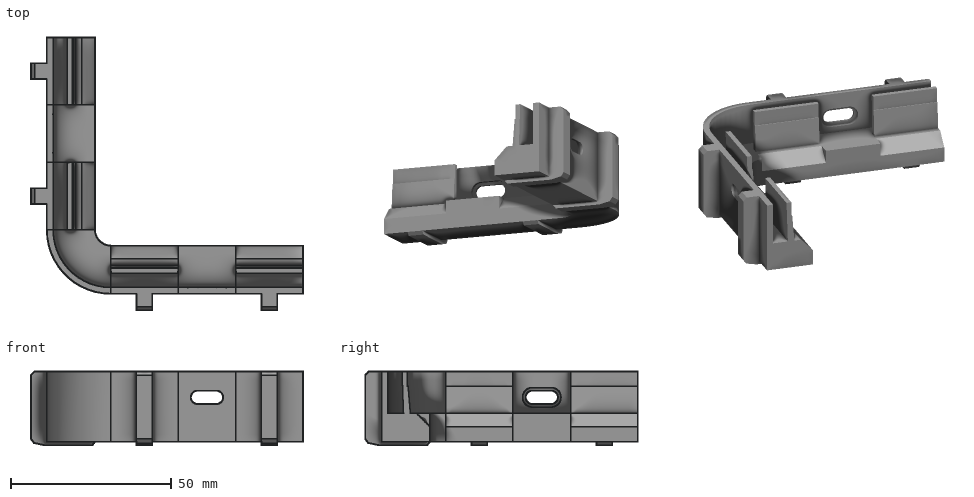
import cadquery as cq


channel_width = 15.1
bend_inner_radius = 4.9
bend_outer_radius = bend_inner_radius + channel_width
wall_thickness = 2.0
wall_height = 22.0
floor_thickness = 8.9

clip_length = 21.0
middle_length = 18.0
middle_start = clip_length
outer_clip_start = middle_start + middle_length

slot_length = 10.0
slot_height = 4.1
slot_center_height = 15.0
slot_lip_depth = 0.8
pocket_margin = 1.0

plate_offset = 6.4
plate_thickness = 1.6
plate_lean = 0.45
plate_step = 0.3
plate_tip_height = 4.6
plate_foot_back = 9.0

lip_width = 4.1
lip_edge_thickness = floor_thickness - lip_width

rib_width = 5.0
rib_depth_x_arm = 5.13
rib_depth_y_arm = 4.94
rib_chamfer = 1.15
underside_thickness = 1.09
underside_chamfer = 0.9
heel_height = 0.75
heel_run = 0.95
heel_rise = 1.3
sole_start = 4.4

floor_bottom = underside_thickness
floor_top = floor_bottom + floor_thickness
wall_top = floor_bottom + wall_height


def extrude_along_arm(points, start, length):
    """Extrude a section, given as (across, height) points, along the X arm."""
    section_plane = cq.Plane(
        origin=(start, -bend_outer_radius, 0), xDir=(0, 1, 0), normal=(1, 0, 0)
    )
    return cq.Workplane(section_plane).polyline(points).close().extrude(length)


def make_channel(start, length):
    """Plain L-shaped channel: upright wall and thick flat floor."""
    section = [
        (0, floor_bottom),
        (channel_width, floor_bottom),
        (channel_width, floor_top),
        (wall_thickness, floor_top),
        (wall_thickness, wall_top),
        (0, wall_top),
    ]
    return extrude_along_arm(section, start, length)


def make_middle_part():
    """Plain channel with a mounting slot and its pocket in the wall."""
    slot = (
        cq.Workplane("XZ", origin=(0, -bend_outer_radius, 0))
        .center(middle_start + middle_length / 2, slot_center_height)
        .slot2D(slot_length, slot_height)
        .extrude(-wall_thickness)
    )
    pocket = (
        cq.Workplane("XZ", origin=(0, slot_lip_depth - bend_outer_radius, 0))
        .center(middle_start + middle_length / 2, slot_center_height)
        .slot2D(slot_length + 2 * pocket_margin, slot_height + 2 * pocket_margin)
        .extrude(slot_lip_depth - wall_thickness)
    )
    return make_channel(middle_start, middle_length).cut(slot).cut(pocket)


def make_clip(start, rib_depth):
    """Channel with a spring plate, a sloped floor edge and a rib around its outside."""
    plate_back = plate_offset + plate_thickness
    section = [
        (0, floor_bottom),
        (channel_width, floor_bottom),
        (channel_width, floor_bottom + lip_edge_thickness),
        (channel_width - lip_width, floor_top),
        (plate_foot_back, floor_top),
        (plate_back + plate_step, wall_top - plate_tip_height),
        (plate_back, wall_top - plate_tip_height),
        (plate_back, wall_top),
        (plate_offset, wall_top),
        (plate_offset + plate_lean, floor_top),
        (wall_thickness, floor_top),
        (wall_thickness, wall_top),
        (0, wall_top),
    ]
    rib_section = [
        (0, wall_top),
        (rib_chamfer - rib_depth, wall_top),
        (-rib_depth, wall_top - rib_chamfer),
        (-rib_depth, heel_height + heel_rise),
        (heel_run - rib_depth, heel_height),
        (sole_start - rib_depth, 0),
        (channel_width - underside_chamfer, 0),
        (channel_width, floor_bottom),
        (0, floor_bottom),
    ]
    rib_start = start + (clip_length - rib_width) / 2
    rib = extrude_along_arm(rib_section, rib_start, rib_width)
    return extrude_along_arm(section, start, clip_length).union(rib)


def make_corner():
    """Quarter turn of the plain channel section about the bend axis."""
    section = [
        (bend_inner_radius, floor_bottom),
        (bend_outer_radius, floor_bottom),
        (bend_outer_radius, wall_top),
        (bend_outer_radius - wall_thickness, wall_top),
        (bend_outer_radius - wall_thickness, floor_top),
        (bend_inner_radius, floor_top),
    ]
    turn = cq.Workplane("XZ").polyline(section).close().revolve(90, (0, 0, 0), (0, 1, 0))
    return turn.rotate((0, 0, 0), (0, 0, 1), 180)


def to_y_arm(part):
    """Mirror a part of the X arm about the X = Y plane."""
    return part.rotate((0, 0, 0), (0, 0, 1), -90).mirror("XZ")


corner = make_corner()
x_arm_middle = make_middle_part()
y_arm_middle = to_y_arm(make_middle_part())

x_arm_clips = []
y_arm_clips = []
for clip_start in (0, outer_clip_start):
    x_arm_clips.append(make_clip(clip_start, rib_depth_x_arm))
    y_arm_clips.append(to_y_arm(make_clip(clip_start, rib_depth_y_arm)))

bodies = [corner, x_arm_middle, y_arm_middle, *x_arm_clips, *y_arm_clips]
result = cq.Compound.makeCompound([body.val() for body in bodies])